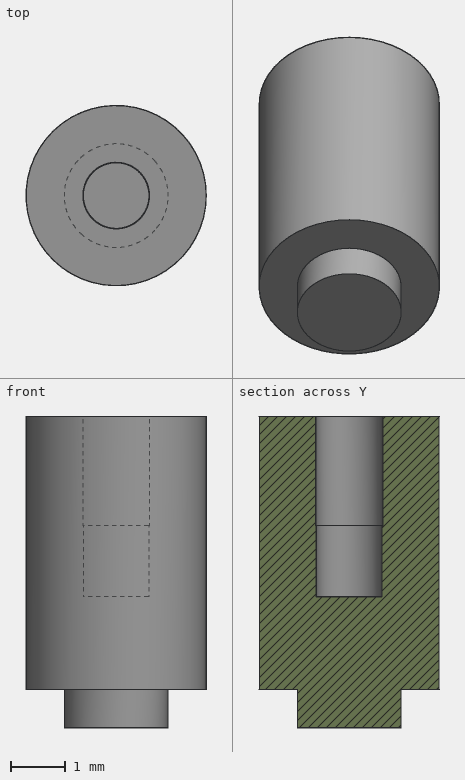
import cadquery as cq

body_diameter = 3.3
body_height = 5.0
spigot_diameter = 1.9
spigot_height = 0.7

hole_diameter = 1.22
hole_depth = 2.0
pilot_diameter = 1.2
pilot_depth = 3.3


def make_body():
    """Body with its bottom shoulder at Z = 0."""
    return cq.Workplane("XY").circle(body_diameter / 2).extrude(body_height)


def make_spigot():
    """Spigot reaching down from the body's shoulder."""
    return cq.Workplane("XY").circle(spigot_diameter / 2).extrude(-spigot_height)


def make_bore(diameter, depth):
    """Flat-bottomed cylinder reaching down from the top face, used as a cutter."""
    return (
        cq.Workplane("XY")
        .workplane(offset=body_height)
        .circle(diameter / 2)
        .extrude(-depth)
    )


result = (
    make_body()
    .union(make_spigot())
    .cut(make_bore(hole_diameter, hole_depth))
    .cut(make_bore(pilot_diameter, pilot_depth))
)